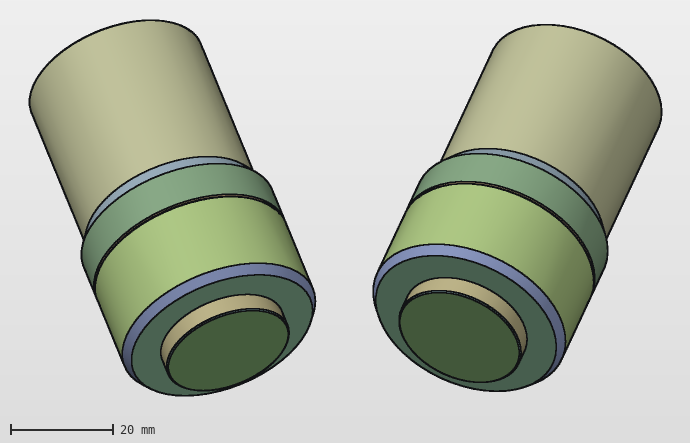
import cadquery as cq

total_length = 69.3
barrel_length = 34.8
cone_length = 3.45
rear_boss_length = 3.9

barrel_diameter = 35.9
head_diameter = 40.0
rear_boss_diameter = 25.35

groove_start = 46.0
groove_width = 0.6
groove_depth = 0.3
head_chamfer_length = 1.95
head_chamfer_depth = 1.25
edge_chamfer = 0.3

head_start = barrel_length + cone_length
head_end = total_length - rear_boss_length
groove_middle = groove_start + groove_width / 2
groove_end = groove_start + groove_width
barrel_radius = barrel_diameter / 2
head_radius = head_diameter / 2
rear_boss_radius = rear_boss_diameter / 2
groove_radius = head_radius - groove_depth

profile = [
    (0, 0),
    (0, barrel_radius - edge_chamfer),
    (edge_chamfer, barrel_radius),
    (barrel_length, barrel_radius),
    (head_start, head_radius),
    (groove_start, head_radius),
    (groove_middle, groove_radius),
    (groove_end, head_radius),
    (head_end - head_chamfer_length, head_radius),
    (head_end, head_radius - head_chamfer_depth),
    (head_end, rear_boss_radius),
    (total_length - edge_chamfer, rear_boss_radius),
    (total_length, rear_boss_radius - edge_chamfer),
    (total_length, 0),
]
result = cq.Workplane("XY").polyline(profile).close().revolve(360, (0, 0, 0), (1, 0, 0))